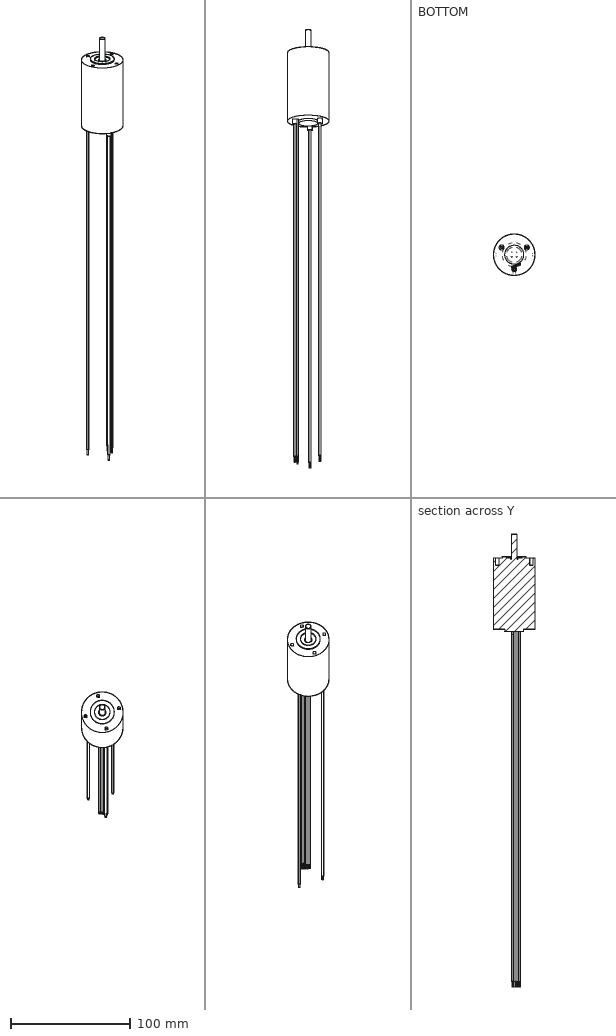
import cadquery as cq
import math

body_diameter = 35.0
body_length = 60.0

hole_count = 4
hole_diameter = 2.5
hole_circle_radius = 14.5
hole_depth = 6.0

pilot_diameter = 20.0
pilot_height = 1.0
recess_diameter = 13.0
recess_depth = 1.0

bore_diameter = 6.0
bore_depth = 1.0

total_length = 380
shaft_diameter = 5.0
shaft_top = 79.8
shaft_chamfer = 0.5

boss_diameter = 16.0
boss_height = 2.0

lead_bottom = shaft_top - total_length
bare_length = 5.0

phase_count = 3
phase_circle_radius = 12.0
phase_diameter = 2.0
phase_core_diameter = 1.5
grommet_diameter = 4.0
grommet_height = 4.0

sensor_count = 5
sensor_diameter = 1.5
sensor_core_diameter = 1.0
first_sensor_x = -1.5
first_sensor_y = 10.3
sensor_step_x = 1.5
sensor_step_y = -0.57

axis = (0, 0)

embed = 2.0


def rod(center, diameter, bottom, top):
    """Upright cylinder around the point (x, y), between two heights."""
    x, y = center
    return cq.Workplane("XY", origin=(x, y, bottom)).circle(diameter / 2).extrude(top - bottom)


def ring_points(count, radius, start_angle):
    """Points evenly spaced on a circle around the motor axis, angles in degrees."""
    angles = [math.radians(start_angle + 360 * i / count) for i in range(count)]
    return [(radius * math.cos(a), radius * math.sin(a)) for a in angles]


def make_body():
    """Cylinder with its pilot ring, recess, shaft bore, boss and mounting holes."""
    pilot_top = body_length + pilot_height
    body = rod(axis, body_diameter, 0, body_length)
    body = body.union(rod(axis, pilot_diameter, body_length - embed, pilot_top))
    body = body.cut(rod(axis, recess_diameter, pilot_top - recess_depth, pilot_top))
    body = body.union(rod(axis, boss_diameter, -boss_height, embed))
    body = body.cut(rod(axis, bore_diameter, body_length - bore_depth, pilot_top))
    for point in ring_points(hole_count, hole_circle_radius, 0):
        body = body.cut(rod(point, hole_diameter, body_length - hole_depth, body_length))
    return body


def make_shaft():
    """Output shaft, rooted inside the body."""
    shaft = rod(axis, shaft_diameter, body_length - embed, shaft_top)
    return shaft.faces(">Z").chamfer(shaft_chamfer)


def make_lead(point, diameter, core_diameter):
    """Insulated wire hanging from the body, with its bare end at the bottom."""
    insulation_bottom = lead_bottom + bare_length
    insulation = rod(point, diameter, insulation_bottom, embed)
    bare_end = rod(point, core_diameter, lead_bottom, insulation_bottom)
    return insulation.union(bare_end)


result = make_body().union(make_shaft())

for point in ring_points(phase_count, phase_circle_radius, 90):
    result = result.union(rod(point, grommet_diameter, -grommet_height, embed))
    result = result.union(make_lead(point, phase_diameter, phase_core_diameter))

for i in range(sensor_count):
    point = (first_sensor_x + i * sensor_step_x, first_sensor_y + i * sensor_step_y)
    result = result.union(make_lead(point, sensor_diameter, sensor_core_diameter))